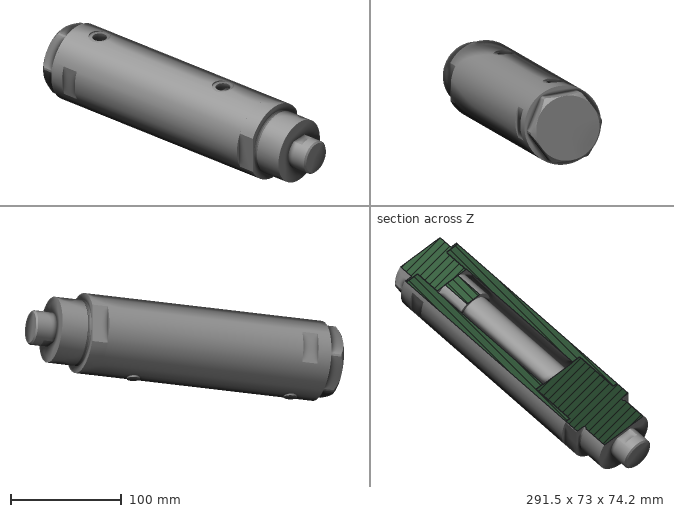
import cadquery as cq
import math

TOTAL_LENGTH = 291.5
BODY_RADIUS = 36.5

HEX_SIDES = 6
HEX_LENGTH = 14.5
HEX_ACROSS_FLATS = 60.0
HEX_CORNER_RADIUS = 34.0
HEX_CHAMFER = 4.0
HEX_TURN = 6.8
FLANGE_THICKNESS = 2.0
PLUG_END_X = 42.5

HOUSING_START_X = HEX_LENGTH + FLANGE_THICKNESS
HOUSING_END_X = 229.0
BORE_RADIUS = 25.7
WRENCH_FLAT_START_X = 26.8
WRENCH_FLAT_LENGTH = 15.0
WRENCH_FLAT_HALF_WIDTH = 33.5

PORT_XS = (41.5, 184.0)
PORT_RADIUS = 6.7
SPOTFACE_RADIUS = 10.0
SPOTFACE_DEPTH = 1.5

PAD_XS = (40.5, 192.0)
PAD_RADIUS = 6.0
PAD_HEIGHT = 1.2

SPIGOT_START_X = 184.2
SPIGOT_RADIUS = 32.0
GLAND_FLANGE_END_X = 244.0
GLAND_FLAT_HALF_WIDTH = 32.0
COLLAR_RADIUS = 30.0
COLLAR_END_X = 272.0
UNDERCUT_WIDTH = 3.2
UNDERCUT_DEPTH = 1.0

ROD_RADIUS = 15.7
ROD_HEAD_RADIUS = 19.8
ROD_HEAD_LENGTH = 29.2
ROD_TIP_CHAMFER = 1.5
ROD_FLAT_END_X = 281.5
ROD_FLAT_HALF_WIDTH = 13.7


def cylinder(start_x, end_x, radius):
    """Cylinder along the X axis."""
    return cq.Workplane("YZ", origin=(start_x, 0, 0)).circle(radius).extrude(end_x - start_x)


def revolve_profile(points):
    """Turn a closed (x, radius) outline about the X axis."""
    return cq.Workplane("XY").polyline(points).close().revolve(360, (0, 0, 0), (1, 0, 0))


def slab(start_x, end_x, y_size, z_size):
    """Box centred on the X axis."""
    length = end_x - start_x
    return cq.Workplane("XY").box(length, y_size, z_size).translate((start_x + length / 2, 0, 0))


def make_cap():
    corner_diameter = HEX_ACROSS_FLATS / math.cos(math.pi / HEX_SIDES)
    hexagon = cq.Workplane("YZ").polygon(HEX_SIDES, corner_diameter).extrude(HEX_LENGTH)
    blank = revolve_profile([
        (0, 0),
        (0, HEX_CORNER_RADIUS - HEX_CHAMFER),
        (HEX_CHAMFER, HEX_CORNER_RADIUS),
        (HEX_LENGTH, HEX_CORNER_RADIUS),
        (HEX_LENGTH, 0),
    ])
    head = hexagon.intersect(blank).rotate((0, 0, 0), (1, 0, 0), -HEX_TURN)
    flange = cylinder(HEX_LENGTH, HOUSING_START_X, BODY_RADIUS)
    plug = cylinder(HOUSING_START_X, PLUG_END_X, BORE_RADIUS)
    return head.union(flange).union(plug)


def cut_port(housing, port_x):
    """Spot-faced radial port from the top of the housing into the bore."""
    spotface_z = BODY_RADIUS - SPOTFACE_DEPTH
    port = cq.Workplane("XY", origin=(port_x, 0, 0)).circle(PORT_RADIUS).extrude(BODY_RADIUS)
    spotface = (
        cq.Workplane("XY", origin=(port_x, 0, spotface_z))
        .circle(SPOTFACE_RADIUS)
        .extrude(SPOTFACE_DEPTH)
    )
    return housing.cut(port).cut(spotface)


def make_pad(pad_x):
    """Round pad standing out below the housing, rooted in its wall."""
    wall_z = -(BORE_RADIUS + BODY_RADIUS) / 2
    pad_bottom_z = -(BODY_RADIUS + PAD_HEIGHT)
    return (
        cq.Workplane("XY", origin=(pad_x, 0, pad_bottom_z))
        .circle(PAD_RADIUS)
        .extrude(wall_z - pad_bottom_z)
    )


def make_housing():
    housing = cylinder(HOUSING_START_X, HOUSING_END_X, BODY_RADIUS)
    for pad_x in PAD_XS:
        housing = housing.union(make_pad(pad_x))
    housing = housing.cut(cylinder(HOUSING_START_X, HOUSING_END_X, BORE_RADIUS))
    housing = housing.cut(cylinder(SPIGOT_START_X, HOUSING_END_X, SPIGOT_RADIUS))

    flat_end_x = WRENCH_FLAT_START_X + WRENCH_FLAT_LENGTH
    flat_band = cylinder(WRENCH_FLAT_START_X, flat_end_x, BODY_RADIUS)
    kept_core = slab(WRENCH_FLAT_START_X, flat_end_x, 2 * WRENCH_FLAT_HALF_WIDTH, 2 * BODY_RADIUS)
    housing = housing.cut(flat_band.cut(kept_core))

    for port_x in PORT_XS:
        housing = cut_port(housing, port_x)
    return housing


def make_gland():
    flange = cylinder(HOUSING_END_X, GLAND_FLANGE_END_X, BODY_RADIUS).intersect(
        slab(HOUSING_END_X, GLAND_FLANGE_END_X, 2 * GLAND_FLAT_HALF_WIDTH, 2 * BODY_RADIUS)
    )
    spigot = cylinder(SPIGOT_START_X, HOUSING_END_X, SPIGOT_RADIUS)
    undercut_end_x = GLAND_FLANGE_END_X + UNDERCUT_WIDTH
    undercut_radius = COLLAR_RADIUS - UNDERCUT_DEPTH
    collar = revolve_profile([
        (GLAND_FLANGE_END_X, 0),
        (GLAND_FLANGE_END_X, COLLAR_RADIUS),
        (GLAND_FLANGE_END_X + UNDERCUT_DEPTH, undercut_radius),
        (undercut_end_x - UNDERCUT_DEPTH, undercut_radius),
        (undercut_end_x, COLLAR_RADIUS),
        (COLLAR_END_X, COLLAR_RADIUS),
        (COLLAR_END_X, 0),
    ])
    rod_hole = cylinder(SPIGOT_START_X, COLLAR_END_X, ROD_RADIUS)
    return spigot.union(flange).union(collar).cut(rod_hole)


def make_rod():
    shank = cylinder(PLUG_END_X, TOTAL_LENGTH, ROD_RADIUS).faces(">X").chamfer(ROD_TIP_CHAMFER)
    head = cylinder(PLUG_END_X, PLUG_END_X + ROD_HEAD_LENGTH, ROD_HEAD_RADIUS)
    flat_band = cylinder(COLLAR_END_X, ROD_FLAT_END_X, ROD_RADIUS)
    kept_core = slab(COLLAR_END_X, ROD_FLAT_END_X, 2 * ROD_RADIUS, 2 * ROD_FLAT_HALF_WIDTH)
    return shank.union(head).cut(flat_band.cut(kept_core))


cap = make_cap()
housing = make_housing()
gland = make_gland()
rod = make_rod()

result = cq.Compound.makeCompound([cap.val(), housing.val(), gland.val(), rod.val()])